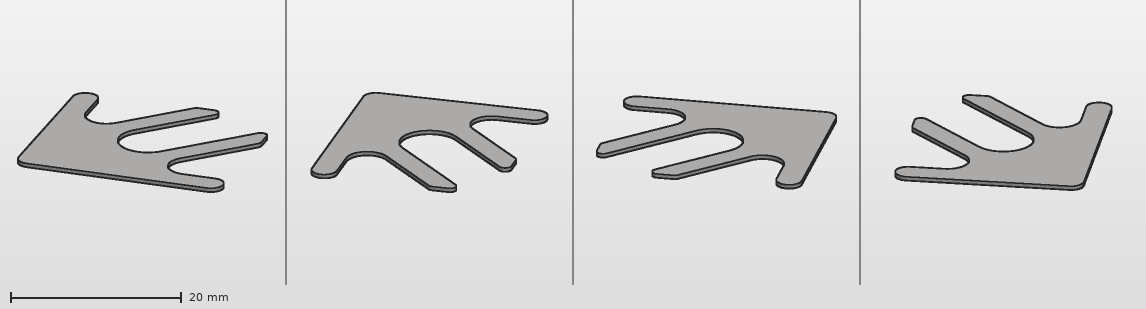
import cadquery as cq
import math

LENGTH_X = 25.4
LENGTH_Y = 22.352
THICKNESS = 0.5

ARM_WIDTH = 3.048
ARM_RADIUS = ARM_WIDTH / 2

SLOT_RADIUS = 3.556
SLOT_ANGLE = 45.0

NOTCH_RADIUS = 2.54
NOTCH_DEPTH = 5.588

FINGER_TIP_RADIUS = 0.762


def make_arm(reach):
    """Round-ended arm along +Y, starting at the corner of the L."""
    return (
        cq.Workplane("XY")
        .center(ARM_RADIUS, reach / 2)
        .slot2D(reach, ARM_WIDTH, 90)
        .extrude(THICKNESS)
    )


def make_notch(reach):
    """Cutter for the notch beside a +Y arm, also clearing the space the arm itself fills."""
    centre_x = ARM_WIDTH + NOTCH_RADIUS
    centre_y = reach - NOTCH_DEPTH
    tangent_offset = NOTCH_RADIUS * math.sqrt(0.5)
    tangent_x = centre_x + tangent_offset
    tangent_y = centre_y - tangent_offset
    finger_top_x = tangent_x + reach - tangent_y
    arc = cq.Workplane("XY").center(centre_x, centre_y).circle(NOTCH_RADIUS).extrude(THICKNESS)
    opening = (
        cq.Workplane("XY")
        .moveTo(0, centre_y)
        .lineTo(0, reach)
        .lineTo(finger_top_x, reach)
        .lineTo(tangent_x, tangent_y)
        .lineTo(centre_x, centre_y)
        .close()
        .extrude(THICKNESS)
    )
    return arc.union(opening)


def swap_xy(body):
    """Reflect a flat body across the line y = x, so that what ran along +Y runs along +X."""
    return body.mirror("YZ").rotate((0, 0, 0), (0, 0, 1), -90)


def make_slot():
    """Diagonal slot cutter, open towards the +X +Y corner."""
    run_out = LENGTH_X
    round_end = cq.Workplane("XY").circle(SLOT_RADIUS).extrude(THICKNESS)
    channel = cq.Workplane("XY").box(run_out, 2 * SLOT_RADIUS, THICKNESS, centered=(False, True, False))
    slot = round_end.union(channel).rotate((0, 0, 0), (0, 0, 1), SLOT_ANGLE)
    return slot.translate((LENGTH_X / 2, LENGTH_Y / 2, 0))


def make_web():
    """Web inside the L with its two diagonal fingers."""
    web = (
        cq.Workplane("XY")
        .box(LENGTH_X - ARM_RADIUS, LENGTH_Y - ARM_RADIUS, THICKNESS, centered=False)
        .translate((ARM_RADIUS, ARM_RADIUS, 0))
        .cut(make_slot())
        .cut(make_notch(LENGTH_Y))
        .cut(swap_xy(make_notch(LENGTH_X)))
    )
    for tip_face in (">Y", ">X"):
        web = web.faces(tip_face).edges("|Z").fillet(FINGER_TIP_RADIUS)
    return web


result = make_web().union(make_arm(LENGTH_Y)).union(swap_xy(make_arm(LENGTH_X))).clean()